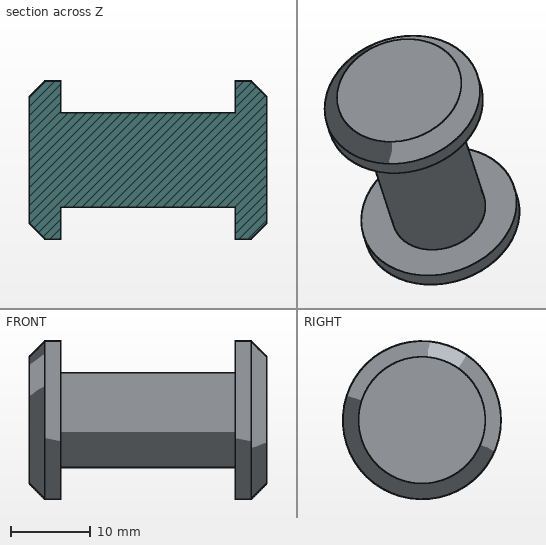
import cadquery as cq

total_length = 30.0
head_diameter = 20.0
head_thickness = 4.0
head_chamfer = 2.0
shank_diameter = 12.0

head_offset = (total_length - head_thickness) / 2
shank_length = total_length - 2 * head_thickness


def cylinder_along_x(diameter, length):
    """Cylinder centred on the origin with its axis along X."""
    return cq.Workplane("YZ", origin=(-length / 2, 0, 0)).circle(diameter / 2).extrude(length)


def head(side):
    """Disc head at one end (side is -1 or +1), chamfered on its outer rim."""
    outer_face = ">X" if side > 0 else "<X"
    disc = cylinder_along_x(head_diameter, head_thickness)
    return disc.faces(outer_face).chamfer(head_chamfer).translate((side * head_offset, 0, 0))


result = cylinder_along_x(shank_diameter, shank_length)
for side in (-1, 1):
    result = result.union(head(side))